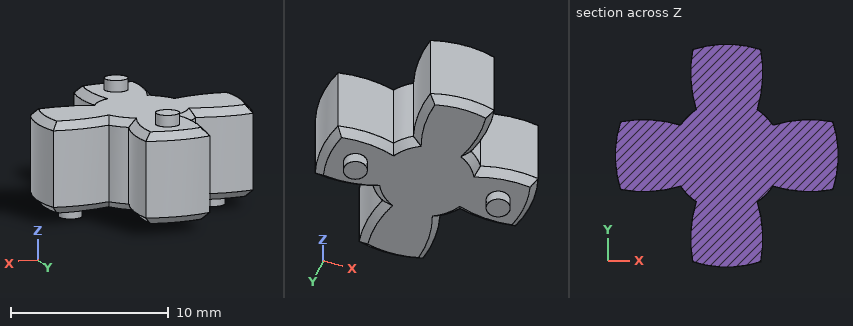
import cadquery as cq

TIP_RADIUS = 7.05
CORE_RADIUS = 3.5
BODY_HEIGHT = 5.99
CHAMFER = 0.5

ARM_COUNT = 4
ARM_PITCH = 360 / ARM_COUNT
ARM_WIDTH = 4.57
ARM_CENTER_DISTANCE = 5.25
FLANK_RADIUS = 8.0
FLANK_CENTER_OFFSET = FLANK_RADIUS - ARM_WIDTH / 2

PIN_DIAMETER = 1.52
PIN_HEIGHT = 0.75
PIN_DISTANCE = 4.79
TOP_Z = BODY_HEIGHT / 2
BOTTOM_Z = -BODY_HEIGHT / 2


def chamfered_disc(radius, x=0, y=0):
    """Upright disc of the body height, chamfered around both end faces."""
    disc = cq.Workplane("XY").workplane(offset=BOTTOM_Z).center(x, y).circle(radius).extrude(BODY_HEIGHT)
    return disc.faces("<Z or >Z").chamfer(CHAMFER)


def make_arm():
    """Arm along +X: the overlap of two large flank discs, cut off by the tip circle."""
    left_flank = chamfered_disc(FLANK_RADIUS, ARM_CENTER_DISTANCE, -FLANK_CENTER_OFFSET)
    right_flank = chamfered_disc(FLANK_RADIUS, ARM_CENTER_DISTANCE, FLANK_CENTER_OFFSET)
    return left_flank.intersect(right_flank).intersect(chamfered_disc(TIP_RADIUS))


def make_body():
    """Round core with the arms evenly spaced around it."""
    body = chamfered_disc(CORE_RADIUS)
    arm = make_arm()
    for index in range(ARM_COUNT):
        body = body.union(arm.rotate((0, 0, 0), (0, 0, 1), index * ARM_PITCH))
    return body.clean()


def make_pins(centers, face_z, height):
    """Round pins standing on an end face; a negative height points them down."""
    face = cq.Workplane("XY").workplane(offset=face_z)
    return face.pushPoints(centers).circle(PIN_DIAMETER / 2).extrude(height)


top_pins = make_pins([(0, PIN_DISTANCE), (0, -PIN_DISTANCE)], TOP_Z, PIN_HEIGHT)
bottom_pins = make_pins([(PIN_DISTANCE, 0), (-PIN_DISTANCE, 0)], BOTTOM_Z, -PIN_HEIGHT)

result = make_body().union(top_pins).union(bottom_pins)